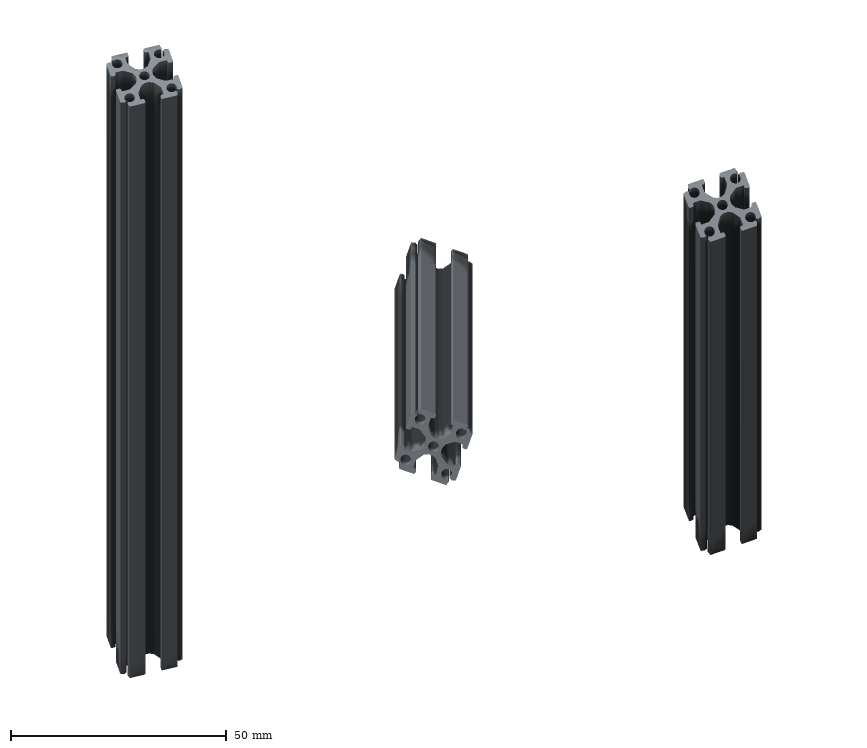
import cadquery as cq
import math

LENGTH = 225.0
WIDTH = 15.0
HALF_WIDTH = WIDTH / 2

SLOT_OPENING = 3.8
SLOT_INNER_WIDTH = 5.6
LIP_THICKNESS = 1.24
CORE_WIDTH = 4.0
FLOOR_WIDTH = 1.01
SHALLOW_ANGLE = 25.0
SHALLOW_RUN = 1.0
STEEP_ANGLE = 55.0

FLANK_RADIUS = 0.25
WALL_RADIUS = 0.85
SLOT_CORNER_RADIUS = 0.15
LIP_INNER_RADIUS = 0.43
LIP_OUTER_RADIUS = 0.34

GROOVE_START = 1.75
GROOVE_MOUTH_ALONG = 1.46
GROOVE_MOUTH_DEPTH = 1.01
GROOVE_BOTTOM = 1.62
GROOVE_EDGE_RADIUS = 0.18

BORE_DIAMETER = 2.5
CORNER_HOLE_DIAMETER = 2.5
CORNER_HOLE_INSET = 2.5


def turned(point, quarter):
    """Turn an (x, y) point about the bar axis by a number of quarter turns."""
    x, y = point
    for _ in range(quarter):
        x, y = -y, x
    return x, y


def half_side_corners():
    """Corners and rounding radii from the +Y slot floor to the groove of the +X +Y corner."""
    floor_x = FLOOR_WIDTH / 2
    floor_y = CORE_WIDTH / 2
    steep_x = floor_x + SHALLOW_RUN
    steep_y = floor_y + SHALLOW_RUN * math.tan(math.radians(SHALLOW_ANGLE))
    wall_x = SLOT_INNER_WIDTH / 2
    wall_y = steep_y + (wall_x - steep_x) * math.tan(math.radians(STEEP_ANGLE))
    lip_x = SLOT_OPENING / 2
    lip_y = HALF_WIDTH - LIP_THICKNESS
    return [
        ((floor_x, floor_y), 0),
        ((steep_x, steep_y), FLANK_RADIUS),
        ((wall_x, wall_y), WALL_RADIUS),
        ((wall_x, lip_y), SLOT_CORNER_RADIUS),
        ((lip_x, lip_y), LIP_INNER_RADIUS),
        ((lip_x, HALF_WIDTH), LIP_OUTER_RADIUS),
        ((HALF_WIDTH - GROOVE_START, HALF_WIDTH), GROOVE_EDGE_RADIUS),
        ((HALF_WIDTH - GROOVE_MOUTH_ALONG, HALF_WIDTH - GROOVE_MOUTH_DEPTH), 0),
    ]


def rounded_corner(sketch, before, corner, after, radius):
    """Draw a line towards a corner and an arc of the given radius around it."""
    tip = cq.Vector(*corner)
    to_before = (cq.Vector(*before) - tip).normalized()
    to_after = (cq.Vector(*after) - tip).normalized()
    half_angle = to_before.getAngle(to_after) / 2
    tangent_length = radius / math.tan(half_angle)
    arc_gap = radius / math.sin(half_angle) - radius
    arc_start = tip + to_before * tangent_length
    arc_middle = tip + (to_before + to_after).normalized() * arc_gap
    arc_end = tip + to_after * tangent_length
    sketch = sketch.lineTo(arc_start.x, arc_start.y)
    return sketch.threePointArc(arc_middle.toTuple()[:2], arc_end.toTuple()[:2])


def draw_half_side(sketch, corners):
    """Draw one run of corners, rounding those that have a radius; the sketch is at the first."""
    for index in range(1, len(corners)):
        corner, radius = corners[index]
        if radius:
            sketch = rounded_corner(sketch, corners[index - 1][0], corner, corners[index + 1][0], radius)
        else:
            sketch = sketch.lineTo(*corner)
    return sketch


def profile():
    """Closed outline of the cross-section: four equal quarters, drawn clockwise."""
    half_side = half_side_corners()
    mirrored = [((y, x), radius) for (x, y), radius in reversed(half_side)]
    groove_bottom = HALF_WIDTH - GROOVE_BOTTOM
    sketch = cq.Workplane("XY").moveTo(*half_side[0][0])
    for quarter in (0, 3, 2, 1):
        first = [(turned(point, quarter), radius) for point, radius in half_side]
        second = [(turned(point, quarter), radius) for point, radius in mirrored]
        if quarter != 0:
            sketch = sketch.lineTo(*first[0][0])
        sketch = draw_half_side(sketch, first)
        sketch = sketch.threePointArc(turned((groove_bottom, groove_bottom), quarter), second[0][0])
        sketch = draw_half_side(sketch, second)
    return sketch.close()


def lengthwise_holes():
    """Centre bore and the four corner holes, all through the full length."""
    spacing = 2 * (HALF_WIDTH - CORNER_HOLE_INSET)
    corner_holes = (
        cq.Workplane("XY")
        .rect(spacing, spacing, forConstruction=True)
        .vertices()
        .circle(CORNER_HOLE_DIAMETER / 2)
        .extrude(LENGTH)
    )
    bore = cq.Workplane("XY").circle(BORE_DIAMETER / 2).extrude(LENGTH)
    return bore.union(corner_holes)


result = profile().extrude(LENGTH).cut(lengthwise_holes())